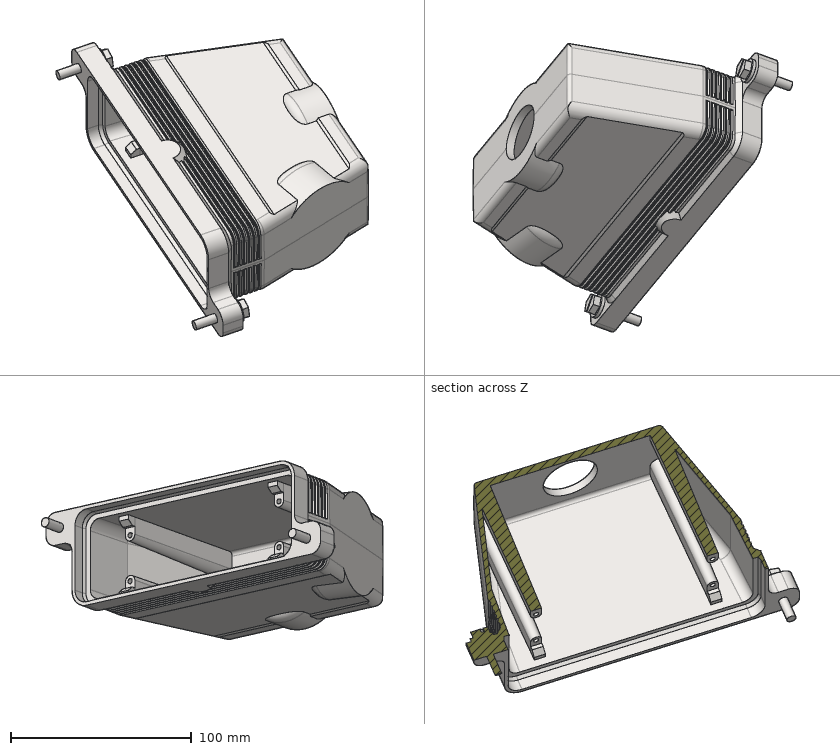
import cadquery as cq
import math


HOOD_HALF_WIDTH = 75.0
HOOD_HALF_DEPTH = 26.4
HOOD_TOP = 110.0
HOOD_BASE_Y = 2.0
BEND_Y = 35.6
END_LEAN = 14.75
MOULD_DRAFT = 0.7
SIDE_EDGE_RADIUS = 6.5
TOP_EDGE_RADIUS = 3.8
TOP_CORNER_RADIUS = 2.5
LEAN_RATIO = math.tan(math.radians(END_LEAN))

PANEL_DEPTH = 0.5
PANEL_LOW_Y = 43.1
PANEL_HIGH_Y = 99.3
PANEL_STEP_LENGTH = 1.7

ENTRY_RADIUS = 28.97
ENTRY_EDGE_RADIUS = 6.2
TOP_ENTRY_START = 86.0
SIDE_ENTRY_X = 39.3
SIDE_ENTRY_Y = 68.5
CABLE_HOLE_DIAMETER = 32.0

GROOVE_COUNT = 6
GROOVE_FIRST_Y = 16.5
GROOVE_PITCH = 2.98
GROOVE_FLOOR_WIDTH = 0.5
GROOVE_DEPTH = 0.87
GROOVE_CORNER_RADIUS = 5.8
LAND_HALF_HEIGHT = 2.1

FLANGE_HALF_WIDTH = 78.0
FLANGE_HALF_DEPTH = 28.97
FLANGE_THICKNESS = 12.3
FLANGE_CORNER_RADIUS = 10.2
LUG_REACH = 96.2
LUG_INNER_Z = 9.8
LUG_CORNER_RADIUS = 6.5
LUG_ROOT_RADIUS = 5.8
SKIRT_CHAMFER = 3.0
NUB_RADIUS = 7.3
NUB_HEIGHT = 4.8

RIM_WIDTH = 2.1
SEAT_STRAIGHT_DEPTH = 6.5
SEAT_TAPER_DEPTH = 2.3
SEAT_TAPER = 20
SEAT_CORNER_RADIUS = 8.0
CAVITY_MOUTH_HALF_WIDTH = 72.0
CAVITY_BEND_HALF_WIDTH = 70.5
CAVITY_HALF_DEPTH = 23.2
CAVITY_BEND_Y = 40.5
CAVITY_BACK = 105.0
CAVITY_CORNER_RADIUS = 6.2
CAVITY_BACK_RADIUS = 2.3

POST_X = 52.2
POST_Z = 13.3
POST_FACE_Y = 19.2
POST_FACE_RADIUS = 3.3
POST_BACK_RADIUS = 5.0
POST_WALL_OVERLAP = 0.5
POST_HOLE_DIAMETER = 2.9
POST_HOLE_DEPTH = 15.4
STOP_INNER_Z = 17.8
STOP_FACE_Z = 20.6
STOP_SHOULDER_Y = 17.0
STOP_FACE_Y = 13.5

SCREW_X = 86.6
SCREW_Z = 19.5
SHANK_DIAMETER = 5.4
SHANK_REACH = 13.0
WASHER_DIAMETER = 13.7
WASHER_THICKNESS = 2.0
HEAD_CORNER_DIAMETER = 11.7
HEAD_HEIGHT = 4.0
HEAD_TURN = 45
SLOT_WIDTH = 1.2
SLOT_DEPTH = 2.1


def cross_section(y):
    """Workplane at height y whose extrusions rise along +Y; local axes are X and -Z."""
    return cq.Workplane("XZ", origin=(0, y, 0)).transformed(rotate=(180, 0, 0))


def mirrored_in_z(half):
    return half.union(half.mirror("XY"))


def rounded_block(half_width, half_depth, y, height, radius, taper=0):
    outline = cq.Sketch().rect(2 * half_width, 2 * half_depth).vertices().fillet(radius)
    return cross_section(y).placeSketch(outline).extrude(height, taper=taper)


def drafted_half(half_depth, top, corner_radius=0):
    """Upper half of the house-shaped hood outline, drafted away from the parting plane."""
    top_half_width = HOOD_HALF_WIDTH - (top - BEND_Y) * LEAN_RATIO
    outline = (
        cq.Sketch()
        .polygon([
            (-HOOD_HALF_WIDTH, HOOD_BASE_Y),
            (HOOD_HALF_WIDTH, HOOD_BASE_Y),
            (HOOD_HALF_WIDTH, BEND_Y),
            (top_half_width, top),
            (-top_half_width, top),
            (-HOOD_HALF_WIDTH, BEND_Y),
            (-HOOD_HALF_WIDTH, HOOD_BASE_Y),
        ])
    )
    if corner_radius:
        outline = outline.vertices(">Y").fillet(corner_radius)
    return cq.Workplane("XY").placeSketch(outline).extrude(half_depth, taper=MOULD_DRAFT)


def panel_cutter():
    floor = HOOD_HALF_DEPTH - PANEL_DEPTH
    profile = [
        (PANEL_LOW_Y, HOOD_HALF_DEPTH),
        (PANEL_LOW_Y + PANEL_STEP_LENGTH, floor),
        (PANEL_HIGH_Y - PANEL_STEP_LENGTH, floor),
        (PANEL_HIGH_Y, HOOD_HALF_DEPTH),
    ]
    upper = cq.Workplane("YZ").polyline(profile).close().extrude(HOOD_HALF_WIDTH, both=True)
    return mirrored_in_z(upper)


def make_hood():
    """Rounded hood: one prism carries the side edge rounding, the other the top edge rounding."""
    sides = drafted_half(HOOD_HALF_DEPTH, 1.1 * HOOD_TOP)
    sides = sides.faces(">Z").edges("not |X").fillet(SIDE_EDGE_RADIUS)
    cap = drafted_half(HOOD_HALF_DEPTH, HOOD_TOP, TOP_CORNER_RADIUS)
    cap = cap.faces(">Z").edges("not <Y").fillet(TOP_EDGE_RADIUS)
    hood = mirrored_in_z(sides).intersect(mirrored_in_z(cap))
    return hood.cut(panel_cutter())


def entry_bulge(x, y, turn):
    """Round-nosed cylinder starting at (x, y), turned from the +Y direction, trimmed to the hood."""
    bulge = cross_section(0).circle(ENTRY_RADIUS).extrude(HOOD_TOP)
    bulge = bulge.faces("<Y").edges().fillet(ENTRY_EDGE_RADIUS)
    bulge = bulge.rotate((0, 0, 0), (0, 0, 1), turn).translate((x, y, 0))
    return bulge.intersect(mirrored_in_z(drafted_half(ENTRY_RADIUS + 2, HOOD_TOP)))


def groove_cutter():
    """Ring that leaves a waisted core: a floor with a 45 degree flank on either side."""
    half_width = HOOD_HALF_WIDTH - GROOVE_DEPTH
    half_depth = HOOD_HALF_DEPTH - GROOVE_DEPTH
    half_floor = GROOVE_FLOOR_WIDTH / 2
    half_ring = half_floor + GROOVE_DEPTH
    floor = rounded_block(half_width, half_depth, 0, half_floor, GROOVE_CORNER_RADIUS)
    flank = rounded_block(half_width, half_depth, half_floor, GROOVE_DEPTH, GROOVE_CORNER_RADIUS, taper=-45)
    core = floor.union(flank)
    core = core.union(core.mirror("XZ"))
    reach = 2 * HOOD_HALF_WIDTH
    slab = cq.Workplane("XY").box(2 * reach, 2 * half_ring, reach)
    land = cq.Workplane("XY").box(2 * reach, reach, 2 * LAND_HALF_HEIGHT)
    return slab.cut(core).cut(land).translate((0, half_ring, 0))


def cut_grooves(hood):
    cutter = groove_cutter()
    for index in range(GROOVE_COUNT):
        hood = hood.cut(cutter.translate((0, GROOVE_FIRST_Y + index * GROOVE_PITCH, 0)))
    return hood


def make_flange():
    """Flange plate with two diagonal lugs, a sloped skirt foot and a half-cone nub on each broad side."""
    plate = cross_section(0).rect(2 * FLANGE_HALF_WIDTH, 2 * FLANGE_HALF_DEPTH).extrude(FLANGE_THICKNESS)
    lug = cq.Workplane("XY").box(
        LUG_REACH,
        FLANGE_THICKNESS,
        FLANGE_HALF_DEPTH - LUG_INNER_Z,
        centered=False,
    ).translate((-LUG_REACH, 0, LUG_INNER_Z))
    lugs = lug.union(lug.rotate((0, 0, 0), (0, 1, 0), 180))
    flange = plate.union(lugs).clean()
    corners = (
        (LUG_REACH, FLANGE_HALF_DEPTH, LUG_CORNER_RADIUS),
        (LUG_REACH, LUG_INNER_Z, LUG_CORNER_RADIUS),
        (FLANGE_HALF_WIDTH, LUG_INNER_Z, LUG_ROOT_RADIUS),
        (FLANGE_HALF_WIDTH, -FLANGE_HALF_DEPTH, FLANGE_CORNER_RADIUS),
    )
    for x, z, radius in corners:
        for side in (-1, 1):
            near = cq.selectors.NearestToPointSelector((side * x, FLANGE_THICKNESS / 2, -side * z))
            flange = flange.edges("|Y").edges(near).fillet(radius)
    skirt = rounded_block(
        FLANGE_HALF_WIDTH,
        FLANGE_HALF_DEPTH,
        FLANGE_THICKNESS,
        SKIRT_CHAMFER,
        FLANGE_CORNER_RADIUS,
        taper=45,
    )
    nub = cq.Workplane("XY", origin=(0, FLANGE_THICKNESS, FLANGE_HALF_DEPTH))
    nub = nub.circle(NUB_RADIUS).extrude(-NUB_HEIGHT, taper=-45)
    return flange.union(skirt).union(mirrored_in_z(nub))


def make_cavity():
    """Stepped seat at the mouth, then a room whose end walls follow the lean of the hood."""
    seat_half_width = FLANGE_HALF_WIDTH - RIM_WIDTH
    seat_half_depth = FLANGE_HALF_DEPTH - RIM_WIDTH
    seat = rounded_block(seat_half_width, seat_half_depth, 0, SEAT_STRAIGHT_DEPTH, SEAT_CORNER_RADIUS)
    seat_taper = rounded_block(
        seat_half_width,
        seat_half_depth,
        SEAT_STRAIGHT_DEPTH,
        SEAT_TAPER_DEPTH,
        SEAT_CORNER_RADIUS,
        taper=SEAT_TAPER,
    )
    seat_bottom = SEAT_STRAIGHT_DEPTH + SEAT_TAPER_DEPTH
    back_half_width = CAVITY_BEND_HALF_WIDTH - (CAVITY_BACK - CAVITY_BEND_Y) * LEAN_RATIO
    outline = [
        (-CAVITY_MOUTH_HALF_WIDTH, seat_bottom),
        (CAVITY_MOUTH_HALF_WIDTH, seat_bottom),
        (CAVITY_BEND_HALF_WIDTH, CAVITY_BEND_Y),
        (back_half_width, CAVITY_BACK),
        (-back_half_width, CAVITY_BACK),
        (-CAVITY_BEND_HALF_WIDTH, CAVITY_BEND_Y),
    ]
    room = cq.Workplane("XY").polyline(outline).close().extrude(CAVITY_HALF_DEPTH, both=True)
    room = room.faces("|Z").edges("not |X").fillet(CAVITY_CORNER_RADIUS)
    trim = cq.Workplane("XY").box(4 * HOOD_HALF_WIDTH, 2 * CAVITY_BACK, 2 * CAVITY_HALF_DEPTH)
    trim = trim.faces(">Y").edges("|X").fillet(CAVITY_BACK_RADIUS)
    room = room.intersect(trim)
    return seat.union(seat_taper).union(room)


def make_post():
    """Tapered screw post against the +Z wall, with a stop block standing in front of it."""
    length = CAVITY_BACK - POST_FACE_Y
    flare = math.degrees(math.atan2(POST_BACK_RADIUS - POST_FACE_RADIUS, length))
    wall_z = CAVITY_HALF_DEPTH + POST_WALL_OVERLAP
    outline = (
        cq.Workplane("XZ", origin=(POST_X, POST_FACE_Y, 0))
        .moveTo(-POST_FACE_RADIUS, wall_z)
        .lineTo(-POST_FACE_RADIUS, POST_Z)
        .threePointArc((0, POST_Z - POST_FACE_RADIUS), (POST_FACE_RADIUS, POST_Z))
        .lineTo(POST_FACE_RADIUS, wall_z)
        .close()
    )
    post = outline.extrude(-length, taper=-flare)
    profile = [
        (POST_FACE_Y, wall_z),
        (POST_FACE_Y, STOP_INNER_Z),
        (STOP_SHOULDER_Y, STOP_INNER_Z),
        (STOP_FACE_Y, STOP_FACE_Z),
        (STOP_FACE_Y, wall_z),
    ]
    stop = cq.Workplane("YZ", origin=(POST_X, 0, 0)).polyline(profile).close()
    stop = stop.extrude(POST_FACE_RADIUS, both=True)
    hole = cross_section(POST_FACE_Y).center(POST_X, -POST_Z)
    hole = hole.circle(POST_HOLE_DIAMETER / 2).extrude(POST_HOLE_DEPTH)
    return post.union(stop).cut(hole)


def make_screw():
    """Slotted hexagon screw through the flange on the Y axis."""
    shank = cross_section(-SHANK_REACH).circle(SHANK_DIAMETER / 2).extrude(SHANK_REACH + FLANGE_THICKNESS)
    washer = cross_section(FLANGE_THICKNESS).circle(WASHER_DIAMETER / 2).extrude(WASHER_THICKNESS)
    head_base = FLANGE_THICKNESS + WASHER_THICKNESS
    head = cross_section(head_base).polygon(6, HEAD_CORNER_DIAMETER).extrude(HEAD_HEIGHT)
    slot = cross_section(head_base + HEAD_HEIGHT - SLOT_DEPTH)
    slot = slot.rect(SLOT_WIDTH, 2 * HEAD_CORNER_DIAMETER).extrude(SLOT_DEPTH)
    head = head.cut(slot).rotate((0, 0, 0), (0, 1, 0), -HEAD_TURN)
    return shank.union(washer).union(head)


hood = make_hood()
hood = hood.union(entry_bulge(0, TOP_ENTRY_START, 0))
hood = hood.union(entry_bulge(SIDE_ENTRY_X, SIDE_ENTRY_Y, END_LEAN - 90))
hood = cut_grooves(hood)

cavity = make_cavity()
post = make_post()
for mirrored_x in (False, True):
    for mirrored_z in (False, True):
        placed = post.mirror("YZ") if mirrored_x else post
        placed = placed.mirror("XY") if mirrored_z else placed
        cavity = cavity.cut(placed)
result = hood.union(make_flange()).cut(cavity)

cable_hole = cross_section(CAVITY_BACK - 2).circle(CABLE_HOLE_DIAMETER / 2).extrude(HOOD_TOP)
result = result.cut(cable_hole)

screw = make_screw()
for side in (-1, 1):
    result = result.union(screw.translate((side * SCREW_X, 0, -side * SCREW_Z)))